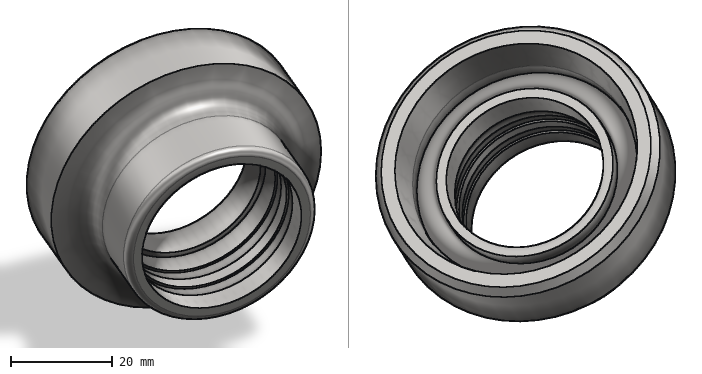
import cadquery as cq

length = 32.0
flange_radius = 58.0 / 2
hub_radius = 41.0 / 2
flange_end = 14.05
hub_start = 19.8
edge_break = 1.5
sweep_fullness = 0.64

mouth_radius = 49.4 / 2
recess_radius = 45.8 / 2
taper_depth = 7.0
recess_depth = 10.7
rim_radius = 36.0 / 2

bore_radius = 32.0 / 2
counterbore_start = 13.9
counterbore_radius = 34.2 / 2
groove_radius = 35.2 / 2
groove_width = 3.0
groove_starts = (18.75, 24.5)


def cylinder(start, end, radius):
    """Solid cylinder on the part axis between two axial stations."""
    return cq.Workplane("YZ", origin=(start, 0, 0)).circle(radius).extrude(end - start)


def outer_body():
    """Chamfered flange, concave neck and hub, revolved about X."""
    neck_length = hub_start - flange_end
    neck_height = flange_radius - hub_radius
    neck_controls = [
        (flange_end, flange_radius - sweep_fullness * neck_height),
        (hub_start - sweep_fullness * neck_length, hub_radius),
        (hub_start, hub_radius),
    ]
    profile = (
        cq.Workplane("XY")
        .moveTo(0, 0)
        .lineTo(0, flange_radius - edge_break)
        .lineTo(edge_break, flange_radius)
        .lineTo(flange_end, flange_radius)
        .bezier(neck_controls, includeCurrent=True)
        .lineTo(length - edge_break, hub_radius)
        .radiusArc((length, hub_radius - edge_break), edge_break)
        .lineTo(length, 0)
        .close()
    )
    return profile.revolve(360, (0, 0, 0), (1, 0, 0))


def recess():
    """Tapered mouth leading into a straight recess around a raised rim."""
    mouth = (
        cq.Workplane("XY")
        .polyline([
            (0, 0),
            (0, mouth_radius),
            (taper_depth, recess_radius),
            (recess_depth, recess_radius),
            (recess_depth, 0),
        ])
        .close()
        .revolve(360, (0, 0, 0), (1, 0, 0))
    )
    return mouth.cut(cylinder(taper_depth, recess_depth, rim_radius))


body = outer_body().cut(recess()).cut(cylinder(0, length, bore_radius))
body = body.cut(cylinder(counterbore_start, length, counterbore_radius))
for groove_start in groove_starts:
    body = body.cut(cylinder(groove_start, groove_start + groove_width, groove_radius))

result = body.translate((-length / 2, 0, 0))